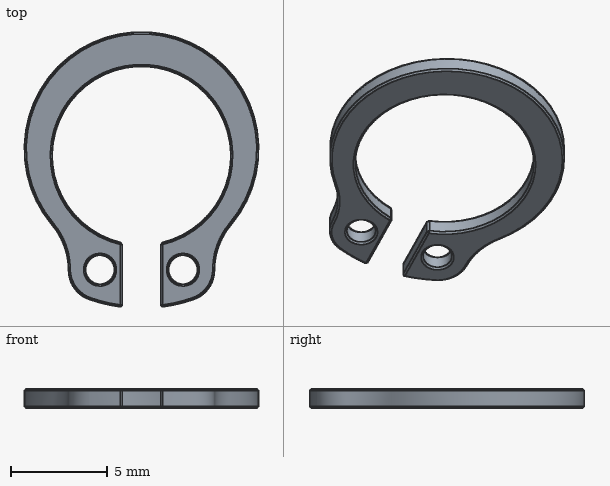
import cadquery as cq
import math

thickness = 1.0
outer_radius = 6.09
bore_radius = 4.64
bore_offset = 0.34
gap_width = 2.0
hole_diameter = 1.5
hole_x = 2.15
hole_y = -6.27
lug_corner_radius = 1.64
edge_chamfer = 0.1

hole_distance = math.hypot(hole_x, hole_y)
lug_end_radius = hole_distance + lug_corner_radius
lug_side_x = hole_x + lug_corner_radius

neck_radius = (lug_side_x**2 + hole_y**2 - outer_radius**2) / (2 * (outer_radius - lug_side_x))
neck_x = lug_side_x + neck_radius


def point_on_circle(center, radius, angle):
    return (center[0] + radius * math.cos(angle), center[1] + radius * math.sin(angle))


def make_half_blank():
    """Solid right half of the outline, closed along the centre line."""
    origin = (0, 0)
    hole_center = (hole_x, hole_y)
    neck_center = (neck_x, hole_y)
    neck_angle = math.atan2(hole_y, neck_x)
    hole_angle = math.atan2(hole_y, hole_x)
    down = -math.pi / 2
    return (
        cq.Workplane("XY")
        .moveTo(0, outer_radius)
        .threePointArc((outer_radius, 0), point_on_circle(origin, outer_radius, neck_angle))
        .threePointArc(
            point_on_circle(neck_center, neck_radius, math.pi + neck_angle / 2),
            (lug_side_x, hole_y),
        )
        .threePointArc(
            point_on_circle(hole_center, lug_corner_radius, hole_angle / 2),
            point_on_circle(origin, lug_end_radius, hole_angle),
        )
        .threePointArc(
            point_on_circle(origin, lug_end_radius, (hole_angle + down) / 2),
            (0, -lug_end_radius),
        )
        .close()
        .extrude(thickness)
    )


def make_ring():
    half = make_half_blank()
    blank = half.union(half.mirror("YZ")).clean()
    bore = cq.Workplane("XY").center(0, -bore_offset).circle(bore_radius).extrude(thickness)
    gap = (
        cq.Workplane("XY")
        .center(0, -lug_end_radius / 2)
        .rect(gap_width, lug_end_radius)
        .extrude(thickness)
    )
    holes = (
        cq.Workplane("XY")
        .pushPoints([(-hole_x, hole_y), (hole_x, hole_y)])
        .circle(hole_diameter / 2)
        .extrude(thickness)
    )
    return blank.cut(bore).cut(gap).cut(holes)


def chamfer_edges(ring):
    """Bevel the four upright gap corners together with every edge of both flat faces."""
    gap_corners = cq.selectors.BoxSelector(
        (-gap_width / 2 - edge_chamfer, -lug_end_radius, 0),
        (gap_width / 2 + edge_chamfer, 0, thickness),
    )
    upright_edges = ring.edges("|Z").edges(gap_corners)
    face_edges = ring.faces("<Z or >Z").edges()
    return upright_edges.add(face_edges).chamfer(edge_chamfer)


result = chamfer_edges(make_ring())